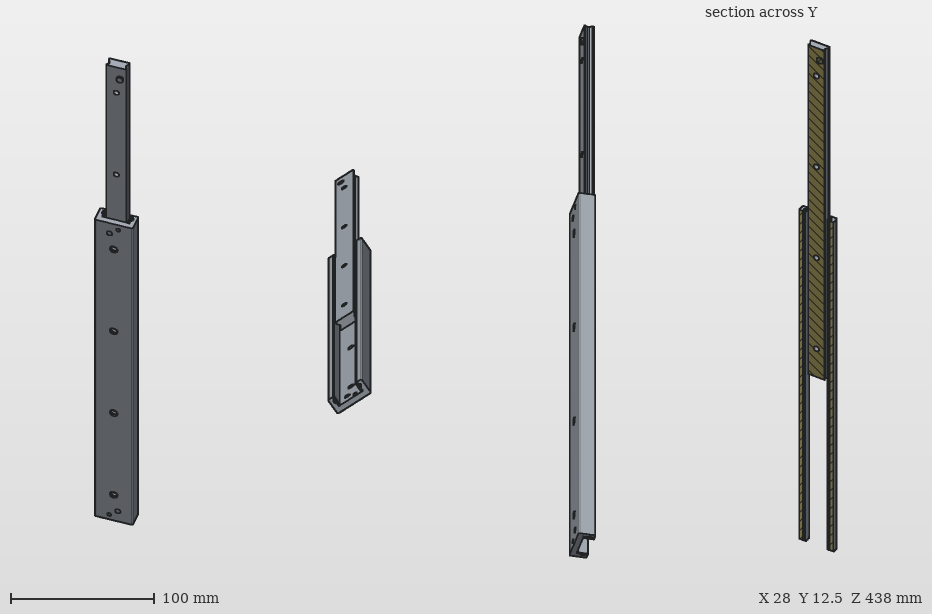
import cadquery as cq
import math

overall_length = 438
rail_length = 290.0
slider_bottom_z = overall_length - rail_length

housing_width = 28.0
housing_depth = 12.3
web_thickness = 4.5
wall_thickness = 4.0
outer_corner_radius = 1.0
wall_inner_x = housing_width / 2 - wall_thickness

slider_width = 15.0
slider_front_y = 5.5
slider_back_y = 12.5

race_y = 8.8
groove_depth = 1.5
groove_floor_height = 1.5
groove_flank_angle = 36
groove_mouth_height = groove_floor_height + 2 * groove_depth / math.tan(math.radians(groove_flank_angle))

strip_thickness = 1.5
strip_front_y = 5.3

hole_count = 4
hole_end_distance = 25.0
hole_pitch = (rail_length - 2 * hole_end_distance) / (hole_count - 1)
housing_hole_diameter = 5.0
housing_hole_rim = 0.35
housing_counterbore_depth = 1.8
housing_counterbore_diameter = housing_hole_diameter + 2 * housing_hole_rim
slider_hole_diameter = 4.0

stop_pin_diameter = 4.0
stop_pin_x = 3.0
stop_pin_end_distance = 10.0

small_pin_diameter = 2.85
small_pin_x = 3.3
small_pin_end_distance = 5.0

slider_pin_diameter = 5.0
slider_pin_x = 2.85
slider_pin_end_distance = 10.5
slider_pin_z = overall_length - slider_pin_end_distance
slider_pin_front_y = 4.5

housing_pins = [
    (stop_pin_diameter, -stop_pin_x, rail_length - stop_pin_end_distance),
    (stop_pin_diameter, stop_pin_x, stop_pin_end_distance),
    (small_pin_diameter, small_pin_x, rail_length - small_pin_end_distance),
    (small_pin_diameter, -small_pin_x, small_pin_end_distance),
]


def block(x_range, y_range, height):
    """Box that stands on Z = 0 and fills the given X and Y ranges."""
    width = x_range[1] - x_range[0]
    depth = y_range[1] - y_range[0]
    return cq.Workplane("XY").box(width, depth, height, centered=False).translate((x_range[0], y_range[0], 0))


def rod(diameter, x, z, y_range):
    """Round rod along Y: a pin, or the hole for one."""
    start = cq.Vector(x, y_range[0], z)
    along_y = cq.Vector(0, 1, 0)
    return cq.Workplane(cq.Solid.makeCylinder(diameter / 2, y_range[1] - y_range[0], start, along_y))


def race_groove(mouth_x, cut_direction):
    """Trapezoidal groove over a whole rail, cut from a face at mouth_x toward +X (1) or -X (-1)."""
    floor_x = mouth_x + cut_direction * groove_depth
    section = [
        (mouth_x, race_y - groove_mouth_height / 2),
        (floor_x, race_y - groove_floor_height / 2),
        (floor_x, race_y + groove_floor_height / 2),
        (mouth_x, race_y + groove_mouth_height / 2),
    ]
    return cq.Workplane("XY").polyline(section).close().extrude(rail_length)


def cut_mounting_holes(rail, diameter, y_range):
    """Cut a round hole at each place of the mounting row into a rail that stands on Z = 0."""
    for i in range(hole_count):
        rail = rail.cut(rod(diameter, 0, hole_end_distance + i * hole_pitch, y_range))
    return rail


def make_housing():
    web_range = (0, web_thickness)
    body = block((-housing_width / 2, housing_width / 2), (0, housing_depth), rail_length)
    body = body.edges("|Z").fillet(outer_corner_radius)
    body = body.cut(block((-wall_inner_x, wall_inner_x), (web_thickness, housing_depth), rail_length))
    for side in (-1, 1):
        body = body.cut(race_groove(side * wall_inner_x, side))
    body = cut_mounting_holes(body, housing_hole_diameter, web_range)
    body = cut_mounting_holes(body, housing_counterbore_diameter, (0, housing_counterbore_depth))
    for diameter, x, z in housing_pins:
        body = body.cut(rod(diameter, x, z, web_range))
    return body


def make_slider():
    thickness_range = (slider_front_y, slider_back_y)
    body = block((-slider_width / 2, slider_width / 2), thickness_range, rail_length)
    for side in (-1, 1):
        body = body.cut(race_groove(side * slider_width / 2, -side))
    body = cut_mounting_holes(body, slider_hole_diameter, thickness_range)
    body = body.translate((0, 0, slider_bottom_z))
    return body.cut(rod(slider_pin_diameter, slider_pin_x, slider_pin_z, thickness_range))


def make_cage_strip(side):
    """Strip against the housing wall on the left (-1) or right (1)."""
    x_range = sorted((side * wall_inner_x, side * (wall_inner_x - strip_thickness)))
    return block(x_range, (strip_front_y, housing_depth), rail_length)


def make_housing_pin(diameter, x, z):
    return rod(diameter, x, z, (0, web_thickness))


def make_slider_pin():
    return rod(slider_pin_diameter, slider_pin_x, slider_pin_z, (slider_pin_front_y, slider_back_y))


housing = make_housing()
slider = make_slider()
cage_strips = [make_cage_strip(side) for side in (-1, 1)]
pins = [make_housing_pin(*pin) for pin in housing_pins]
slider_pin = make_slider_pin()

result = cq.Compound.makeCompound(
    [
        housing.val(),
        slider.val(),
        *[strip.val() for strip in cage_strips],
        *[pin.val() for pin in pins],
        slider_pin.val(),
    ]
)